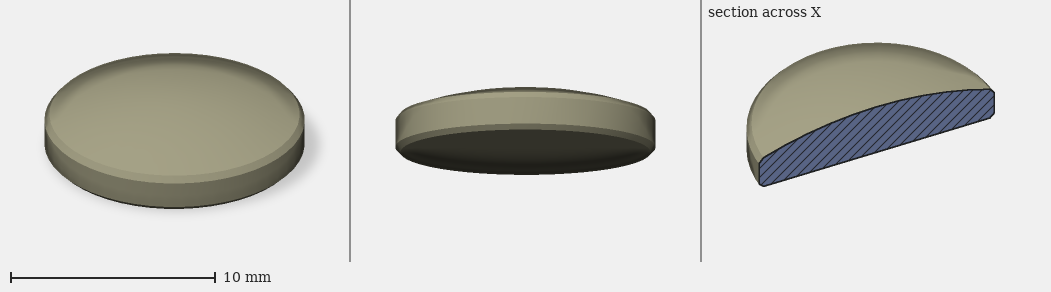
import cadquery as cq
import math

diameter = 12.7
center_thickness = 2.93
dome_radius = 18.0
bevel_width = 0.25
lower_bevel_height = 0.25
upper_bevel_height = 0.3

rim_radius = diameter / 2
face_radius = rim_radius - bevel_width


def dome_height(radius):
    """Height of the convex face above the base at a distance from the axis."""
    drop = dome_radius - math.sqrt(dome_radius**2 - radius**2)
    return center_thickness - drop


def make_lens():
    """Revolve the half section about the optical axis."""
    dome_edge_height = dome_height(face_radius)
    half_section = (
        cq.Workplane("YZ")
        .moveTo(0, 0)
        .lineTo(-face_radius, 0)
        .lineTo(-rim_radius, lower_bevel_height)
        .lineTo(-rim_radius, dome_edge_height - upper_bevel_height)
        .lineTo(-face_radius, dome_edge_height)
        .threePointArc(
            (-face_radius / 2, dome_height(face_radius / 2)),
            (0, center_thickness),
        )
        .close()
    )
    return half_section.revolve(360, (0, 0, 0), (0, 1, 0))


result = make_lens()